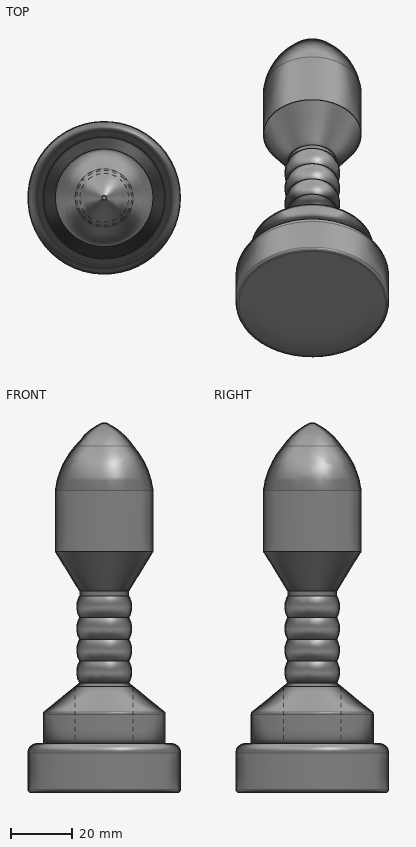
import cadquery as cq
import math

base_diameter = 50.0
base_height = 16.0
base_top_fillet = 3.0
base_bottom_fillet = 1.0

collar_diameter = 40.0
shoulder_bottom = 26.1
shoulder_top = 35.9
shoulder_edge_fillet = 1.0

plug_diameter = 19.0
neck_diameter = 16.0
rib_count = 4
rib_pitch = 7.125
rib_bulge = 1.0

head_diameter = 32.0
head_bottom = 66.0
head_cone_height = 13.0
barrel_height = 20.0
dome_height = 14.5
dome_bulge = 1.2
nose_diameter = 19.0
nose_bulge = 0.8
tip_diameter = 1.5
overall_height = 121.0

collar_radius = collar_diameter / 2
plug_radius = plug_diameter / 2
neck_radius = neck_diameter / 2
head_radius = head_diameter / 2
shoulder_slope = math.atan2(shoulder_top - shoulder_bottom, collar_radius - neck_radius)
bore_top = shoulder_top - (plug_radius - neck_radius) * math.tan(shoulder_slope)
barrel_bottom = head_bottom + head_cone_height
barrel_top = barrel_bottom + barrel_height
nose_bottom = barrel_top + dome_height


def bulged_midpoint(start, end, bulge):
    """Middle point of an arc from start up to end that rises by bulge, away from the axis, over its chord."""
    run = end[0] - start[0]
    rise = end[1] - start[1]
    chord = math.hypot(run, rise)
    middle_radius = (start[0] + end[0]) / 2 + bulge * rise / chord
    middle_height = (start[1] + end[1]) / 2 - bulge * run / chord
    return middle_radius, middle_height


def revolve_about_z(profile):
    """Close a (radius, height) half-profile and turn it a full circle about Z."""
    return profile.close().revolve(360, (0, 0), (0, 1))


def make_base():
    disc = cq.Workplane("XY").circle(base_diameter / 2).extrude(base_height)
    disc = disc.faces(">Z").edges().fillet(base_top_fillet)
    return disc.faces("<Z").edges().fillet(base_bottom_fillet)


def make_housing():
    edge_turn = math.pi / 2 - shoulder_slope
    tangent_length = shoulder_edge_fillet * math.tan(edge_turn / 2)
    fillet_start = (collar_radius, shoulder_bottom - tangent_length)
    fillet_end = (
        collar_radius - tangent_length * math.cos(shoulder_slope),
        shoulder_bottom + tangent_length * math.sin(shoulder_slope),
    )

    profile = (
        cq.Workplane("XZ")
        .moveTo(plug_radius, base_height)
        .lineTo(collar_radius, base_height)
        .lineTo(*fillet_start)
        .tangentArcPoint(fillet_end, relative=False)
        .lineTo(plug_radius, bore_top)
    )
    return revolve_about_z(profile)


def make_stem():
    profile = (
        cq.Workplane("XZ")
        .moveTo(0, base_height)
        .lineTo(plug_radius, base_height)
        .lineTo(plug_radius, bore_top)
        .lineTo(neck_radius, shoulder_top)
    )
    for rib in range(rib_count):
        rib_bottom = shoulder_top + rib * rib_pitch
        rib_crest = (neck_radius + rib_bulge, rib_bottom + rib_pitch / 2)
        profile = profile.threePointArc(rib_crest, (neck_radius, rib_bottom + rib_pitch))
    profile = profile.lineTo(neck_radius, head_bottom).lineTo(0, head_bottom)
    return revolve_about_z(profile)


def make_head():
    dome_start = (head_radius, barrel_top)
    nose_start = (nose_diameter / 2, nose_bottom)
    tip = (tip_diameter / 2, overall_height)
    profile = (
        cq.Workplane("XZ")
        .moveTo(0, head_bottom)
        .lineTo(neck_radius, head_bottom)
        .lineTo(head_radius, barrel_bottom)
        .lineTo(*dome_start)
        .threePointArc(bulged_midpoint(dome_start, nose_start, dome_bulge), nose_start)
        .threePointArc(bulged_midpoint(nose_start, tip, nose_bulge), tip)
        .lineTo(0, overall_height)
    )
    return revolve_about_z(profile)


base = make_base()
housing = make_housing()
stem = make_stem()
head = make_head()

result = cq.Compound.makeCompound([base.val(), housing.val(), stem.val(), head.val()])